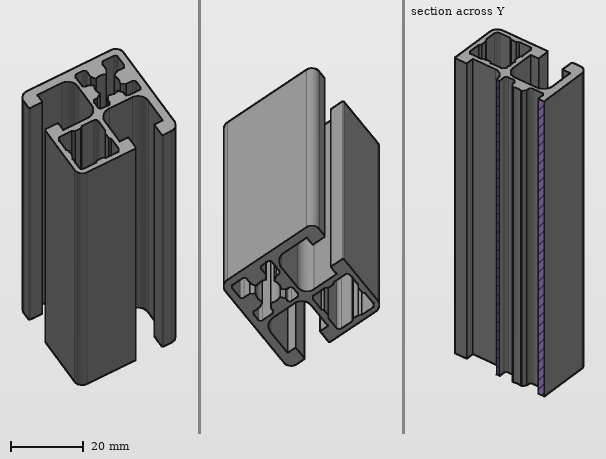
import cadquery as cq

side = 32.0
length = 100.0
corner_radius = 2.5
half_side = side / 2

core_offset = 9.5
core_x = core_offset - half_side
core_y = half_side - core_offset

slot_opening = 8.3
slot_width = 13.8
slot_floor_offset = 16.7
lip_thickness = 4.3
slot_floor_radius = 3.2
lip_edge_radius = 0.3

bore_radius = 3.6
core_outer_reach = 7.4
core_inner_reach = 6.1
rib_half_width = 2.5
rib_shoulder = 4.6
rib_tip_half_width = 1.6
rib_tip = (bore_radius**2 - rib_tip_half_width**2) ** 0.5
lobe_radius = 0.8

chamber_size = 12.6
chamber_wall = 1.5
chamber_radius = 1.0
chamber_centre = half_side - chamber_wall - chamber_size / 2

ridge_height = 0.5
ridge_base = 3.2
ridge_top = 1.8


def bar(x_min, x_max, y_min, y_max):
    """Rectangular prism over the full length of the profile."""
    return (
        cq.Workplane("XY")
        .center((x_min + x_max) / 2, (y_min + y_max) / 2)
        .rect(x_max - x_min, y_max - y_min)
        .extrude(length / 2, both=True)
    )


def prism(points):
    """Polygonal prism over the full length of the profile."""
    return cq.Workplane("XY").polyline(points).close().extrude(length / 2, both=True)


def bottom_slot():
    """T-slot that opens through the -Y face, with a rounded floor."""
    floor_y = half_side - slot_floor_offset
    lip_y = lip_thickness - half_side
    cavity = bar(core_x - slot_width / 2, core_x + slot_width / 2, lip_y, floor_y)
    cavity = cavity.faces(">Y").edges("|Z").fillet(slot_floor_radius)
    opening = bar(core_x - slot_opening / 2, core_x + slot_opening / 2, -half_side, lip_y)
    return cavity.union(opening)


def round_lip_edges(profile):
    """Round the outer edges of the bottom slot's two lips."""
    for x in (core_x - slot_opening / 2, core_x + slot_opening / 2):
        lip_edge = cq.selectors.NearestToPointSelector((x, -half_side, 0))
        profile = profile.edges("|Z").edges(lip_edge).fillet(lip_edge_radius)
    return profile


def across_diagonal(shape):
    """Swap a full-length shape to the other side of the symmetry diagonal."""
    return shape.rotate((0, 0, 0), (1, -1, 0), 180)


def screw_core():
    """Bore and four lobes; the metal left between the lobes forms tapered ribs."""
    core = cq.Workplane("XY").circle(bore_radius).extrude(length / 2, both=True)
    for x_sign, x_reach in ((-1, core_outer_reach), (1, core_inner_reach)):
        for y_sign, y_reach in ((-1, core_inner_reach), (1, core_outer_reach)):
            x_limits = sorted((x_sign * rib_half_width, x_sign * x_reach))
            y_limits = sorted((y_sign * rib_half_width, y_sign * y_reach))
            lobe = bar(*x_limits, *y_limits).edges("|Z").fillet(lobe_radius)
            throat = [
                (0, 0),
                (rib_tip_half_width, rib_tip),
                (rib_half_width, rib_shoulder),
                (rib_shoulder, rib_half_width),
                (rib_tip, rib_tip_half_width),
            ]
            throat = prism([(x_sign * x, y_sign * y) for x, y in throat])
            core = core.union(lobe).union(throat)
    return core.translate((core_x, core_y, 0))


def chamber():
    """Rounded square hollow with one ridge left standing on each wall."""
    wall = chamber_size / 2
    hollow = bar(-wall, wall, -wall, wall).edges("|Z").fillet(chamber_radius)
    ridge = prism([
        (-ridge_base / 2, wall),
        (-ridge_top / 2, wall - ridge_height),
        (ridge_top / 2, wall - ridge_height),
        (ridge_base / 2, wall),
    ])
    for quarter in range(4):
        hollow = hollow.cut(ridge.rotate((0, 0, 0), (0, 0, 1), 90 * quarter))
    return hollow.translate((chamber_centre, -chamber_centre, 0))


body = bar(-half_side, half_side, -half_side, half_side).edges("|Z").fillet(corner_radius)

slot = bottom_slot()
body = body.cut(slot)
body = round_lip_edges(body)
body = across_diagonal(body).cut(slot)
body = round_lip_edges(body)

result = body.cut(screw_core()).cut(chamber())